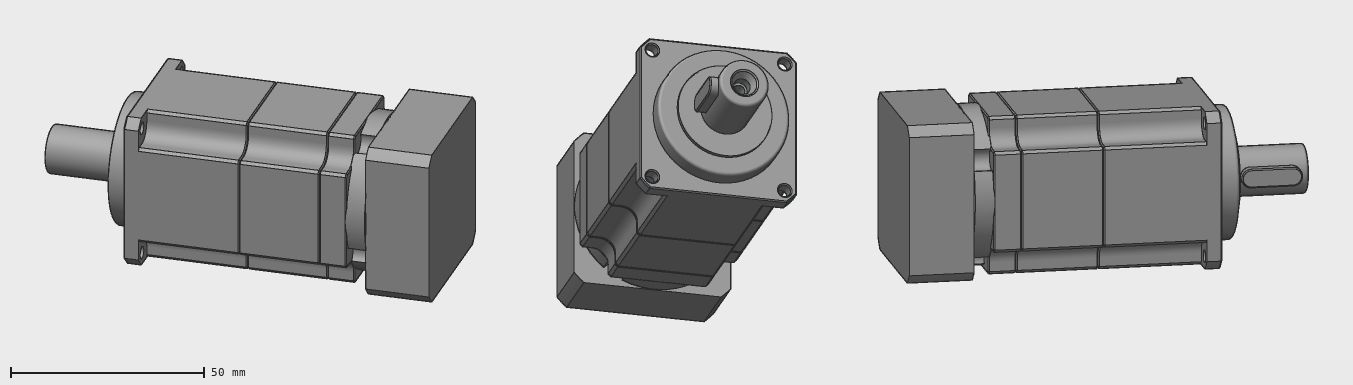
import cadquery as cq
import math


shaft_end = 19.3
pilot_start = 20.4
flange_start = 25.8
flange_end = 29.8
ring_start = 57.0
ring_end = 78.6
neck_start = 86.0
block_start = 91.2
total_length = 108.3

body_width = 42.0
half_width = body_width / 2
turned_corner_radius = 27.9
joint_chamfer = 0.3

screw_offset = 17.8
screw_hole_radius = 1.6
screw_hole_chamfer = 0.3
countersink_angle = 90
groove_radius = 4.3
groove_lip = 0.8

shaft_radius = 6.5
shoulder_radius = 12.6
pilot_radius = 17.5
turned_fillet = 0.8

countersink_radius = 3.8
cone_radius = 3.4
tap_radius = 2.2
core_radius = 1.5
countersink_depth = 0.3
cone_end = 2.5
tap_end = 5.4
core_end = 9.7
core_tip_angle = 120

key_start = 2.1
key_length = 16.0
key_width = 5.0
key_height = 5.0
key_top = 8.7
key_chamfer = 0.3

neck_radius = half_width
scallop_radius = 2.9
scallop_count = 4
scallop_first_angle = 31.0


def along_x(start):
    """Sketch plane normal to the axis, with its local x along Y and local y along Z."""
    return cq.Workplane("YZ", origin=(start, 0, 0))


def turned_square(start, end):
    """Square bar whose four corners are turned to a round."""
    bar = along_x(start).rect(body_width, body_width).extrude(end - start)
    return bar.intersect(along_x(start).circle(turned_corner_radius).extrude(end - start))


def grooved_bar(start, end):
    """Square bar with a rounded groove, chamfered at its lips, along each corner."""
    wall = screw_offset - groove_radius
    lip_edge = half_width - groove_lip
    lip_start = wall - groove_lip
    arc_middle = screw_offset - groove_radius * math.sqrt(0.5)
    quarter = (
        along_x(start)
        .lineTo(half_width, 0)
        .lineTo(half_width, lip_start)
        .lineTo(lip_edge, wall)
        .lineTo(screw_offset, wall)
        .threePointArc((arc_middle, arc_middle), (wall, screw_offset))
        .lineTo(wall, lip_edge)
        .lineTo(lip_start, half_width)
        .lineTo(0, half_width)
        .close()
        .extrude(end - start)
    )
    half = quarter.union(quarter.mirror("XZ"))
    return half.union(half.mirror("XY")).clean()


def make_key():
    """Round-ended key standing in the +Y side of the shaft."""
    key_center = key_start + key_length / 2
    key = (
        cq.Workplane("XZ", origin=(key_center, key_top, 0))
        .slot2D(key_length, key_width)
        .extrude(key_height)
    )
    return key.faces(">Y").edges().chamfer(key_chamfer)


def make_center_hole():
    """Countersunk, stepped centre hole with a conical bottom."""
    core_bottom = core_end + core_radius / math.tan(math.radians(core_tip_angle / 2))
    return (
        cq.Workplane("XY")
        .lineTo(0, countersink_radius)
        .lineTo(countersink_depth, cone_radius)
        .lineTo(cone_end, tap_radius)
        .lineTo(tap_end, tap_radius)
        .lineTo(tap_end, core_radius)
        .lineTo(core_end, core_radius)
        .lineTo(core_bottom, 0)
        .close()
        .revolve(360, (0, 0, 0), (1, 0, 0))
    )


def make_output_housing(key):
    """Flanged housing with its pilot, shoulder and output shaft."""
    flange = turned_square(flange_start, flange_end).faces("<X").edges().chamfer(joint_chamfer)
    flange = (
        flange.faces("<X")
        .workplane(origin=(flange_start, 0, 0))
        .rect(2 * screw_offset, 2 * screw_offset, forConstruction=True)
        .vertices()
        .cskHole(2 * screw_hole_radius, 2 * (screw_hole_radius + screw_hole_chamfer), countersink_angle)
    )
    barrel = grooved_bar(flange_end, ring_start).faces(">X").edges().chamfer(joint_chamfer)
    pilot = along_x(pilot_start).circle(pilot_radius).extrude(flange_start - pilot_start)
    pilot = pilot.faces("<X").edges().fillet(turned_fillet)
    shoulder = along_x(shaft_end).circle(shoulder_radius).extrude(pilot_start - shaft_end)
    shaft = along_x(0).circle(shaft_radius).extrude(shaft_end)
    shaft = shaft.faces("<X").edges().fillet(turned_fillet)
    housing = barrel.union(flange).union(pilot).union(shoulder).union(shaft)
    return housing.cut(make_center_hole()).cut(key)


def make_ring_gear():
    """Grooved middle section with both joint edges chamfered."""
    return grooved_bar(ring_start, ring_end).faces("<X or >X").edges().chamfer(joint_chamfer)


def make_input_housing():
    """Grooved rear section, scalloped round neck and square motor block."""
    section = grooved_bar(ring_end, neck_start).faces("<X or >X").edges().chamfer(joint_chamfer)
    neck_root = neck_start - joint_chamfer
    neck = along_x(neck_root).circle(neck_radius).extrude(block_start - neck_root)
    neck = neck.faces(">X").edges().chamfer(joint_chamfer)
    scallops = (
        along_x(neck_root)
        .polarArray(neck_radius, scallop_first_angle, 360, scallop_count)
        .circle(scallop_radius)
        .extrude(block_start - neck_root)
    )
    block = turned_square(block_start, total_length)
    return section.union(neck.cut(scallops)).union(block)


key = make_key()
output_housing = make_output_housing(key)
ring_gear = make_ring_gear()
input_housing = make_input_housing()

result = cq.Compound.makeCompound(
    [output_housing.val(), key.val(), ring_gear.val(), input_housing.val()]
)